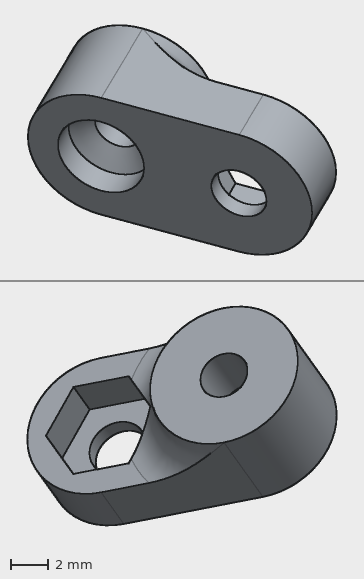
import cadquery as cq
import math

length = 16.5
height = 8.5
boss_depth = 6.0
plate_depth = 3.5
screw_head_diameter = 5.0
screw_shank_diameter = 2.7
head_bore_depth = 1.55
cone_depth = 0.95
nut_hole_diameter = 3.2
nut_across_flats = 5.5
nut_seat_depth = 1.0

end_radius = height / 2
hole_spacing = length - height
boss_x = -hole_spacing / 2
nut_x = hole_spacing / 2
boss_rise = boss_depth - plate_depth


def slot_body(depth):
    """Round-ended block with its front face on the XZ plane, extending to +Y."""
    return cq.Workplane("XZ").slot2D(length, height).extrude(-depth)


def flared_boss():
    """Boss on the -X end whose foot sweeps into the plate with a quarter-round cove."""
    foot_radius = end_radius + boss_rise
    cove_middle = (
        foot_radius - boss_rise * 0.5**0.5,
        boss_depth - boss_rise * 0.5**0.5,
    )
    return (
        cq.Workplane("XY")
        .lineTo(foot_radius, 0)
        .lineTo(foot_radius, plate_depth)
        .threePointArc(cove_middle, (end_radius, boss_depth))
        .lineTo(0, boss_depth)
        .close()
        .revolve(360, (0, 0, 0), (0, 1, 0))
        .translate((boss_x, 0, 0))
    )


def screw_hole():
    """Head bore, conical seat and shank hole, entered from the front face."""
    head_radius = screw_head_diameter / 2
    shank_radius = screw_shank_diameter / 2
    seat_end = head_bore_depth + cone_depth
    return (
        cq.Workplane("XY")
        .lineTo(head_radius, 0)
        .lineTo(head_radius, head_bore_depth)
        .lineTo(shank_radius, seat_end)
        .lineTo(shank_radius, boss_depth)
        .lineTo(0, boss_depth)
        .close()
        .revolve(360, (0, 0, 0), (0, 1, 0))
        .translate((boss_x, 0, 0))
    )


def nut_hole():
    """Through hole at the +X end, opening into a hexagonal nut pocket from the back."""
    nut_across_corners = nut_across_flats / math.cos(math.pi / 6)
    bolt_hole = (
        cq.Workplane("XZ")
        .center(nut_x, 0)
        .circle(nut_hole_diameter / 2)
        .extrude(-boss_depth)
    )
    nut_pocket = (
        cq.Workplane("XZ", origin=(0, nut_seat_depth, 0))
        .center(nut_x, 0)
        .polygon(6, nut_across_corners)
        .extrude(-boss_depth)
    )
    return bolt_hole.union(nut_pocket)


boss = flared_boss().intersect(slot_body(boss_depth))
body = slot_body(plate_depth).union(boss)
result = body.cut(screw_hole()).cut(nut_hole())